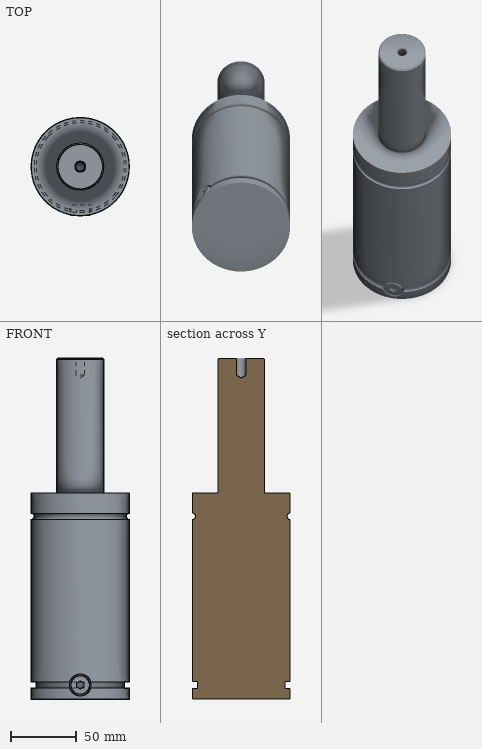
import cadquery as cq

total_height = 260.0
body_radius = 37.5
body_height = 157.3
rod_radius = 18.0
rod_chamfer = 1.0

round_groove_z = 139.4
round_groove_radius = 2.3
clamp_groove_bottom = 8.5
clamp_groove_width = 4.7
clamp_groove_depth = 4.0

rod_hole_radius = 3.5
rod_hole_mouth_radius = 4.2
rod_hole_depth = 13.0
rod_hole_tip_height = 2.0

plug_z = clamp_groove_bottom + clamp_groove_width / 2
plug_radius = 7.0
plug_bore_radius = 8.3
plug_face_distance = body_radius - 0.3
plug_bore_depth = 7.8
socket_radius = 3.0
socket_depth = 4.0


def make_body():
    """Cylinder with a half-round upper groove and a square lower groove."""
    body = cq.Workplane("XY").circle(body_radius).extrude(body_height)
    round_groove = (
        cq.Workplane("XZ")
        .center(body_radius, round_groove_z)
        .circle(round_groove_radius)
        .revolve(360, (-body_radius, 0), (-body_radius, 1))
    )
    clamp_groove = (
        cq.Workplane("XY", origin=(0, 0, clamp_groove_bottom))
        .circle(body_radius + clamp_groove_depth)
        .circle(body_radius - clamp_groove_depth)
        .extrude(clamp_groove_width)
    )
    return body.cut(round_groove).cut(clamp_groove)


def make_rod():
    """Piston rod with a chamfered end."""
    return (
        cq.Workplane("XY", origin=(0, 0, body_height))
        .circle(rod_radius)
        .extrude(total_height - body_height)
        .faces(">Z")
        .chamfer(rod_chamfer)
    )


def make_rod_hole():
    """Blind hole with a countersunk mouth and a conical tip."""
    hole_bottom = total_height - rod_hole_depth
    mouth_depth = rod_hole_mouth_radius - rod_hole_radius
    return (
        cq.Workplane("XZ")
        .moveTo(0, total_height)
        .lineTo(rod_hole_mouth_radius, total_height)
        .lineTo(rod_hole_radius, total_height - mouth_depth)
        .lineTo(rod_hole_radius, hole_bottom)
        .lineTo(0, hole_bottom - rod_hole_tip_height)
        .close()
        .revolve(360, (0, 0), (0, 1))
    )


def plug_cylinder(radius, end_distance):
    """Cylinder along -Y from the bottom of the plug bore out to end_distance."""
    bore_bottom = plug_face_distance - plug_bore_depth
    plane = cq.Workplane("XZ", origin=(0, -bore_bottom, plug_z))
    return plane.circle(radius).extrude(end_distance - bore_bottom)


def make_socket():
    """Hexagon socket with one corner pointing up."""
    return (
        cq.Workplane("XZ", origin=(0, -plug_face_distance, plug_z))
        .transformed(rotate=(0, 0, 90))
        .polygon(6, 2 * socket_radius)
        .extrude(-socket_depth)
    )


def add_plug(part):
    """Set the plug in a wider bore, leaving a ring-shaped gap around it."""
    bore = plug_cylinder(plug_bore_radius, body_radius)
    plug = plug_cylinder(plug_radius, plug_face_distance)
    return part.cut(bore).union(plug).cut(make_socket())


result = add_plug(make_body().union(make_rod()).cut(make_rod_hole()))